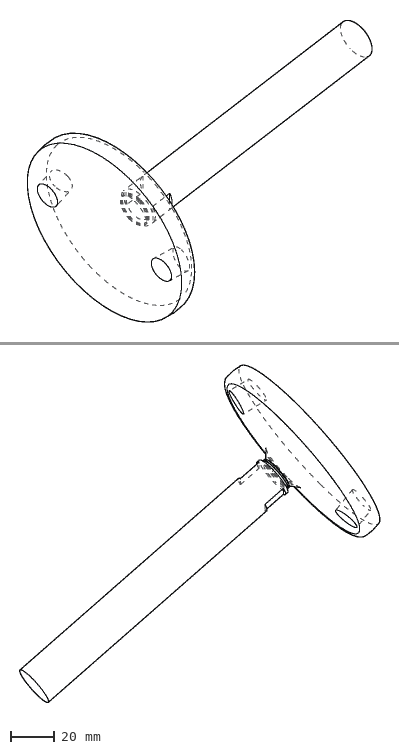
import cadquery as cq
import math

total_length = 172.0

foot_radius = 49.0
underside_radius = 48.5
widest_height = 4.3
rim_arc_start = 7.0
rim_arc_start_radius = 48.8
rim_top = 10.0
rim_top_radius = 45.5
rim_arc_bulge = 0.9
cone_top = 15.7
cone_top_radius = 12.7
socket_blend = 2.5
socket_top = 20.0
socket_top_radius = 8.0
collar_radius = 8.6
collar_start = 20.3
collar_end = 21.0

hole_diameter = 12.5
hole_offset = 35.8
hole_overrun = 8.6
cone_angle = math.atan2(cone_top - rim_top, rim_top_radius - cone_top_radius)

stem_radius = 20.0 / 2
stem_start = 22.4
neck_bottom_radius = 7.9
neck_top_radius = 6.7
flat_half_width = 8.5
flat_start = 23.9
flat_length = 11.5


def revolve_about_y(profile):
    return profile.close().revolve(360, (0, 0, 0), (0, 1, 0))


def mounting_hole(side):
    """Cylinder leaning outward on the given side (-1 or 1) of the axis."""
    direction = cq.Vector(side * math.sin(cone_angle), math.cos(cone_angle), 0)
    start = cq.Vector(side * hole_offset, 0, 0) - direction * hole_overrun
    length = cone_top + 2 * hole_overrun
    return cq.Workplane(cq.Solid.makeCylinder(hole_diameter / 2, length, start, direction))


def make_foot():
    arc_middle_radius = (rim_arc_start_radius + rim_top_radius) / 2 + rim_arc_bulge
    arc_middle_height = (rim_arc_start + rim_top) / 2 + rim_arc_bulge
    profile = (
        cq.Workplane("XY")
        .lineTo(underside_radius, 0)
        .lineTo(foot_radius, widest_height)
        .lineTo(rim_arc_start_radius, rim_arc_start)
        .threePointArc((arc_middle_radius, arc_middle_height), (rim_top_radius, rim_top))
        .lineTo(cone_top_radius, cone_top)
        .lineTo(socket_top_radius, socket_top)
        .lineTo(collar_radius, collar_start)
        .lineTo(collar_radius, collar_end)
        .lineTo(0, collar_end)
    )
    foot = revolve_about_y(profile)
    corner_margin = 0.2
    socket_corner = cq.selectors.BoxSelector(
        (-foot_radius, cone_top - corner_margin, -foot_radius),
        (foot_radius, cone_top + corner_margin, foot_radius),
    )
    foot = foot.edges(socket_corner).fillet(socket_blend)
    for side in (-1, 1):
        foot = foot.cut(mounting_hole(side))
    return foot


def make_stem():
    profile = (
        cq.Workplane("XY")
        .moveTo(0, collar_end)
        .lineTo(neck_bottom_radius, collar_end)
        .lineTo(neck_top_radius, stem_start)
        .lineTo(stem_radius, stem_start)
        .lineTo(stem_radius, total_length)
        .lineTo(0, total_length)
    )
    stem = revolve_about_y(profile)
    for side in (-1, 1):
        flat_cutter = cq.Workplane("XY").box(stem_radius, flat_length, 2 * stem_radius)
        flat_center_x = side * (flat_half_width + stem_radius / 2)
        flat_center_y = flat_start + flat_length / 2
        stem = stem.cut(flat_cutter.translate((flat_center_x, flat_center_y, 0)))
    return stem


foot = make_foot()
stem = make_stem()

result = cq.Compound.makeCompound([foot.val(), stem.val()])